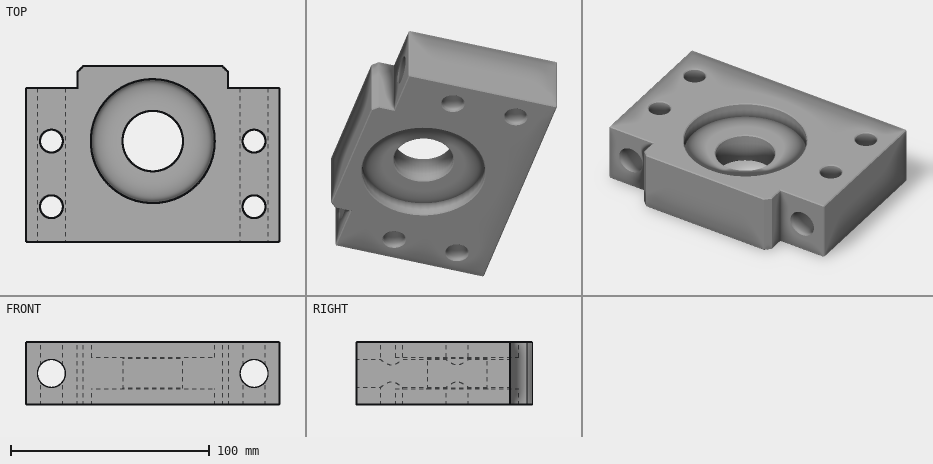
import cadquery as cq

width = 128.0
thickness = 32.0
total_depth = 89.0
tongue_depth = 11.0
body_depth = total_depth - tongue_depth

tongue_width = 76.0
tongue_corner = 3.0

edge_break = 0.5

bore_y = 51.0
bore_diameter = 30.0
recess_diameter = 62.0
recess_depth = 8.0

hole_spacing_x = 102.0
vertical_hole_diameter = 11.0
vertical_hole_pitch_y = 33.0
vertical_hole_rows = (bore_y, bore_y - vertical_hole_pitch_y)
cross_hole_diameter = 14.0


def make_block():
    """Body fused with a tongue that reaches back to the bore, then top and bottom edges broken."""
    body = (
        cq.Workplane("XY")
        .box(width, body_depth, thickness, centered=(True, False, False))
        .edges("|Z")
        .chamfer(edge_break)
    )
    tongue = (
        cq.Workplane("XY")
        .center(0, bore_y)
        .box(tongue_width, total_depth - bore_y, thickness, centered=(True, False, False))
        .edges("|Z and >Y")
        .chamfer(tongue_corner)
    )
    return body.union(tongue).faces("<Z or >Z").edges().chamfer(edge_break)


def turned_cutter(profile, x, y):
    """Solid of revolution from (radius, height) points, with its axis at (x, y)."""
    cutter = cq.Workplane("XZ").polyline(profile).close().revolve(360, (0, 0, 0), (0, 1, 0))
    return cutter.translate((x, y, 0))


def chamfered_hole(diameter, x, y, bottom, top):
    """Vertical cutter with a countersunk mouth at each end."""
    radius = diameter / 2
    mouth = radius + edge_break
    profile = [
        (0, bottom),
        (mouth, bottom),
        (radius, bottom + edge_break),
        (radius, top - edge_break),
        (mouth, top),
        (0, top),
    ]
    return turned_cutter(profile, x, y)


def recess_cutter():
    """Cutter for the bottom recess, with a countersunk mouth."""
    radius = recess_diameter / 2
    mouth = radius + edge_break
    profile = [
        (0, 0),
        (mouth, 0),
        (radius, edge_break),
        (radius, recess_depth),
        (0, recess_depth),
    ]
    return turned_cutter(profile, 0, bore_y)


def cross_hole(x):
    """Cutter running from the front face through to the rear face."""
    return (
        cq.Workplane("XZ")
        .center(x, thickness / 2)
        .circle(cross_hole_diameter / 2)
        .extrude(-body_depth)
    )


result = make_block()

bottom_recess = recess_cutter()
top_recess = bottom_recess.mirror("XY", (0, 0, thickness / 2))
bore = chamfered_hole(bore_diameter, 0, bore_y, recess_depth, thickness - recess_depth)
result = result.cut(bottom_recess).cut(top_recess).cut(bore)

for hole_x in (-hole_spacing_x / 2, hole_spacing_x / 2):
    for hole_y in vertical_hole_rows:
        result = result.cut(chamfered_hole(vertical_hole_diameter, hole_x, hole_y, 0, thickness))
    result = result.cut(cross_hole(hole_x))